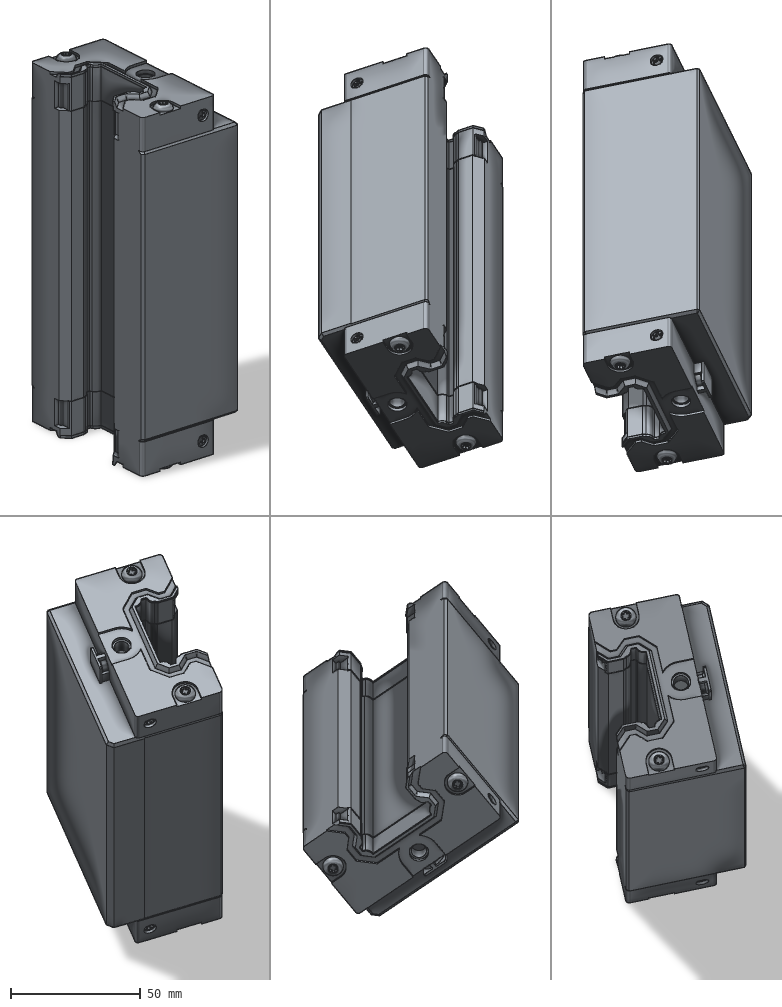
import cadquery as cq
import math


TOTAL_LENGTH = 153.5
BODY_WIDTH = 70.0
BODY_HEIGHT = 47.5
BODY_LENGTH = 122.5
CAP_WIDTH = 69.4
CAP_HEIGHT = 35.9
LIP_RISE = 1.0

END_Z = TOTAL_LENGTH / 2
BODY_END_Z = BODY_LENGTH / 2
CAP_FACE_Z = END_Z - LIP_RISE

BODY_END_CHAMFER = 1.0
LEFT_TOP_CHAMFER = 2.3
RIGHT_TOP_CHAMFER = 0.8
BOTTOM_CHAMFER = 1.0
RELIEF_DEPTH = 0.2
RELIEF_HEIGHT = 32.5

THROAT_HALF = 13.2
THROAT_TOP_Y = 9.4
MOUTH_CHAMFER = 3.0
GROOVE_HALF = 16.6
GROOVE_BOTTOM_Y = 13.0
GROOVE_TOP_Y = 15.0
ROOF_Y = 18.4
CAP_GAP = 0.2
BODY_GAP = 0.5

CAP_TOP_FILLET = 1.2
CAP_BOTTOM_FILLET = 1.5
RECESS_DEPTH = 1.0
RECESS_FLOOR_Z = CAP_FACE_Z - RECESS_DEPTH
LIP_SLOPE = 1.0
BELOW = 4.6

PORT_Y = 29.2
PORT_RECESS_RADIUS = 7.8
PORT_DIAMETER = 7.4
PORT_MOUTH_DEPTH = 1.5
PORT_BORE_DIAMETER = 5.8
PORT_BORE_DEPTH = 7.7

SCREW_X = 30.1
SCREW_Y = 14.0
SCREW_HEAD_DIAMETER = 8.0
SCREW_FLAT_DIAMETER = 4.0
SCREW_SHOULDER_DIAMETER = 6.8
SCREW_SHOULDER_DROP = 0.8
SCREW_POCKET_RADIUS = 5.0
SCREW_POCKET_RUN = 7.7

SCREW_SOCKET_CORE = 2.5
SIDE_SOCKET_CORE = 3.0
SOCKET_LOBE_DIAMETER = 1.0
SOCKET_DEPTH = 1.4

SIDE_HOLE_DIAMETER = 5.0
SIDE_HOLE_DEPTH = 1.2
SIDE_HOLE_Y = 30.1
SIDE_HOLE_Z = 68.8

PLUG_TOP_Y = 40.0
PLUG_FLANGE_WIDTH = 10.6
PLUG_FLANGE_END_Z = 71.5
PLUG_FLANGE_THICKNESS = 0.9
PLUG_FLANGE_CHAMFER = 0.6
PLUG_CORE_Z = 65.7
PLUG_CORE_DIAMETER = 7.7
PLUG_CONE_DIAMETER = 9.0
PLUG_CONE_HEIGHT = 0.9
PLUG_BLOCK_WIDTH = 9.8
PLUG_BLOCK_END_Z = 66.2
PLUG_RIB_WIDTH = 1.7

SLOT_OUTER_X = 19.8
SLOT_STEP_X = 18.3
SLOT_INNER_X = 14.3
SLOT_STEP_DEPTH = 2.0
SLOT_DEPTH = 2.9
SLOT_END_Z = 72.8


def prism(outline, z_from, z_to):
    """Extrude a closed outline lying in the XY plane between two heights."""
    return outline.extrude(z_to - z_from).translate((0, 0, z_from))


def mirrored_polygon(right_half):
    """Closed outline from its right half, mirrored about the YZ plane."""
    left_half = [(-x, y) for x, y in reversed(right_half)]
    return cq.Workplane("XY").polyline(right_half + left_half).close()


def channel(gap, z_from, z_to):
    """Rail channel between two heights, widened by a clearance."""
    throat = THROAT_HALF + gap
    groove = GROOVE_HALF + gap
    mouth_y = MOUTH_CHAMFER + gap
    mouth = throat + mouth_y + BELOW
    roof = ROOF_Y + gap
    lower_start, lower_mid, lower_end = (13.8 + gap, 10.6), (14.5 + gap, 12.0), (15.5 + gap, 12.6)
    upper_start, upper_mid, upper_end = (15.5 + gap, 15.5), (14.6 + gap, 16.6), (14.1 + gap, roof)
    outline = (
        cq.Workplane("XY")
        .moveTo(0, -BELOW)
        .lineTo(mouth, -BELOW)
        .lineTo(throat, mouth_y)
        .lineTo(throat, THROAT_TOP_Y)
        .lineTo(*lower_start)
        .threePointArc(lower_mid, lower_end)
        .lineTo(groove, GROOVE_BOTTOM_Y)
        .lineTo(groove, GROOVE_TOP_Y)
        .lineTo(*upper_start)
        .threePointArc(upper_mid, upper_end)
        .lineTo(0, roof)
        .close()
    )
    half = prism(outline, z_from, z_to)
    return half.union(half.mirror("YZ"))


def body():
    """Steel block with a chamfered outline, a side relief and the rail channel."""
    half = BODY_WIDTH / 2
    block = (
        cq.Workplane("XY")
        .polyline(
            [
                (-half + BOTTOM_CHAMFER, 0),
                (half - BOTTOM_CHAMFER, 0),
                (half, BOTTOM_CHAMFER),
                (half, BODY_HEIGHT - RIGHT_TOP_CHAMFER),
                (half - RIGHT_TOP_CHAMFER, BODY_HEIGHT),
                (-half + LEFT_TOP_CHAMFER, BODY_HEIGHT),
                (-half, BODY_HEIGHT - LEFT_TOP_CHAMFER),
                (-half, BOTTOM_CHAMFER),
            ]
        )
        .close()
        .extrude(BODY_END_Z, both=True)
    )
    block = block.faces("|Z").edges("not(<Y)").chamfer(BODY_END_CHAMFER)
    relief = cq.Workplane("XY").box(2 * RELIEF_DEPTH, 2 * RELIEF_HEIGHT, BODY_LENGTH)
    block = block.cut(relief.translate((-half, 0, 0)))
    return block.cut(channel(BODY_GAP, -BODY_END_Z, BODY_END_Z))


def cap_block():
    """Plain end cap with rounded long edges."""
    block = prism(
        cq.Workplane("XY").center(0, CAP_HEIGHT / 2).rect(CAP_WIDTH, CAP_HEIGHT),
        BODY_END_Z,
        CAP_FACE_Z,
    )
    block = block.edges("|Z and >Y").fillet(CAP_TOP_FILLET)
    return block.edges("|Z and <Y").fillet(CAP_BOTTOM_FILLET)


def seal_recess():
    """Shallow recess around the seal lip, joined to the U-shaped recess of the grease port."""
    band = mirrored_polygon(
        [
            (22.7 + BELOW, -BELOW),
            (22.7, 0),
            (17.7, 5.0),
            (17.7, 7.5),
            (21.3, 11.4),
            (21.3, 17.2),
            (15.5, 23.0),
        ]
    )
    recess = prism(band, RECESS_FLOOR_Z, END_Z)
    port_round = cq.Workplane("XY").center(0, PORT_Y).circle(PORT_RECESS_RADIUS)
    straight_height = CAP_HEIGHT - PORT_Y
    port_straight = cq.Workplane("XY").center(0, PORT_Y + straight_height / 2)
    port_straight = port_straight.rect(2 * PORT_RECESS_RADIUS, straight_height)
    recess = recess.union(prism(port_round, RECESS_FLOOR_Z, END_Z))
    return recess.union(prism(port_straight, RECESS_FLOOR_Z, END_Z))


def seal_lip():
    """Raised lip around the channel, its outer flank leaning inwards."""
    height = END_Z - RECESS_FLOOR_Z
    flank_angle = math.degrees(math.atan2(LIP_SLOPE, height))
    outline = mirrored_polygon(
        [
            (19.0 + BELOW, -BELOW),
            (15.2, 3.8),
            (15.2, 7.8),
            (18.9, 11.5),
            (18.9, 16.6),
            (14.7, 20.7),
        ]
    )
    lip = outline.extrude(height, taper=flank_angle).translate((0, 0, RECESS_FLOOR_Z))
    lip = lip.cut(channel(0, RECESS_FLOOR_Z, END_Z))
    overhang = cq.Workplane("XY").box(BODY_WIDTH, 2 * BELOW, 2 * height)
    return lip.cut(overhang.translate((0, -BELOW, END_Z)))


def star_socket(core_diameter):
    """Six-lobed socket opening at the origin and going down along -Z."""
    socket = cq.Workplane("XY").circle(core_diameter / 2).extrude(-SOCKET_DEPTH)
    lobes = (
        cq.Workplane("XY")
        .polarArray(core_diameter / 2, 0, 360, 6)
        .circle(SOCKET_LOBE_DIAMETER / 2)
        .extrude(-SOCKET_DEPTH)
    )
    return socket.union(lobes)


def screw_pocket(side):
    """Shallow pocket for a screw head, open to the side of the cap."""
    pocket = cq.Workplane("XY").center(side * SCREW_X, SCREW_Y).circle(SCREW_POCKET_RADIUS)
    pocket = prism(pocket, RECESS_FLOOR_Z, END_Z)
    run_out = cq.Workplane("XY").center(side * (SCREW_X + SCREW_POCKET_RUN / 2), SCREW_Y)
    run_out = run_out.rect(SCREW_POCKET_RUN, 2 * SCREW_POCKET_RADIUS)
    return pocket.union(prism(run_out, RECESS_FLOOR_Z, END_Z))


def screw_head(side):
    """Domed head standing on the pocket floor, flat around its socket."""
    height = END_Z - RECESS_FLOOR_Z
    shoulder = (SCREW_SHOULDER_DIAMETER / 2, height - SCREW_SHOULDER_DROP)
    head = (
        cq.Workplane("XZ")
        .lineTo(SCREW_HEAD_DIAMETER / 2, 0)
        .threePointArc(shoulder, (SCREW_FLAT_DIAMETER / 2, height))
        .lineTo(0, height)
        .close()
        .revolve(360, (0, 0, 0), (0, 1, 0))
    )
    head = head.cut(star_socket(SCREW_SOCKET_CORE).translate((0, 0, height)))
    return head.translate((side * SCREW_X, SCREW_Y, RECESS_FLOOR_Z))


def grease_port():
    """Counterbored blind hole in the end face."""
    mouth = cq.Workplane("XY").center(0, PORT_Y).circle(PORT_DIAMETER / 2)
    bore = cq.Workplane("XY").center(0, PORT_Y).circle(PORT_BORE_DIAMETER / 2)
    port = prism(mouth, RECESS_FLOOR_Z - PORT_MOUTH_DEPTH, END_Z)
    return port.union(prism(bore, RECESS_FLOOR_Z - PORT_BORE_DEPTH, END_Z))


def side_hole():
    """Set-screw hole in the left side, with a star socket in its floor."""
    hole = cq.Workplane("XY").circle(SIDE_HOLE_DIAMETER / 2).extrude(-SIDE_HOLE_DEPTH)
    hole = hole.union(star_socket(SIDE_SOCKET_CORE).translate((0, 0, -SIDE_HOLE_DEPTH)))
    hole = hole.rotate((0, 0, 0), (0, 1, 0), -90)
    return hole.translate((-CAP_WIDTH / 2, SIDE_HOLE_Y, SIDE_HOLE_Z))


def underside_slot():
    """Slot beside the channel mouth, with a shallower step along its outer wall."""
    outline = cq.Workplane("XY").polyline(
        [
            (SLOT_INNER_X, 0),
            (SLOT_OUTER_X, 0),
            (SLOT_OUTER_X, SLOT_STEP_DEPTH),
            (SLOT_STEP_X, SLOT_STEP_DEPTH),
            (SLOT_STEP_X, SLOT_DEPTH),
            (SLOT_INNER_X, SLOT_DEPTH),
        ]
    )
    return prism(outline.close(), BODY_END_Z, SLOT_END_Z)


def plug_bar(width, y_from, end_z):
    """Bar from the body end outwards, as high as the plug."""
    height = PLUG_TOP_Y - y_from
    outline = cq.Workplane("XY").center(0, y_from + height / 2).rect(width, height)
    return prism(outline, BODY_END_Z, end_z)


def plug():
    """Flanged plug on top of the cap: round core, central rib and a block against the body."""
    core_radius = PLUG_CORE_DIAMETER / 2
    cone_radius = PLUG_CONE_DIAMETER / 2
    flange_y = PLUG_TOP_Y - PLUG_FLANGE_THICKNESS
    cone_y = flange_y - PLUG_CONE_HEIGHT
    base_y = CAP_HEIGHT - CAP_TOP_FILLET
    core = (
        cq.Workplane("XY")
        .moveTo(0, base_y)
        .lineTo(core_radius, base_y)
        .lineTo(core_radius, cone_y)
        .lineTo(cone_radius, flange_y)
        .lineTo(0, flange_y)
        .close()
        .revolve(360, (0, 0, 0), (0, 1, 0))
        .translate((0, 0, PLUG_CORE_Z))
    )
    flange = plug_bar(PLUG_FLANGE_WIDTH, flange_y, PLUG_FLANGE_END_Z)
    flange = flange.faces(">Z").edges("|Y").chamfer(PLUG_FLANGE_CHAMFER)
    rib = plug_bar(PLUG_RIB_WIDTH, base_y, PLUG_FLANGE_END_Z)
    block = plug_bar(PLUG_BLOCK_WIDTH, base_y, PLUG_BLOCK_END_Z)
    return core.union(flange).union(rib).union(block)


def end_cap():
    """Complete cap at the upper end."""
    cap = cap_block().cut(seal_recess())
    cap = cap.union(seal_lip())
    cap = cap.cut(channel(CAP_GAP, BODY_END_Z, CAP_FACE_Z))
    for side in (-1, 1):
        cap = cap.cut(screw_pocket(side)).union(screw_head(side))
    slot = underside_slot()
    cap = cap.cut(slot).cut(slot.mirror("YZ"))
    hole = side_hole()
    cap = cap.cut(hole).cut(hole.mirror("YZ"))
    return cap.cut(grease_port()).union(plug())


upper_cap = end_cap()
result = body().union(upper_cap).union(upper_cap.mirror("XY"))